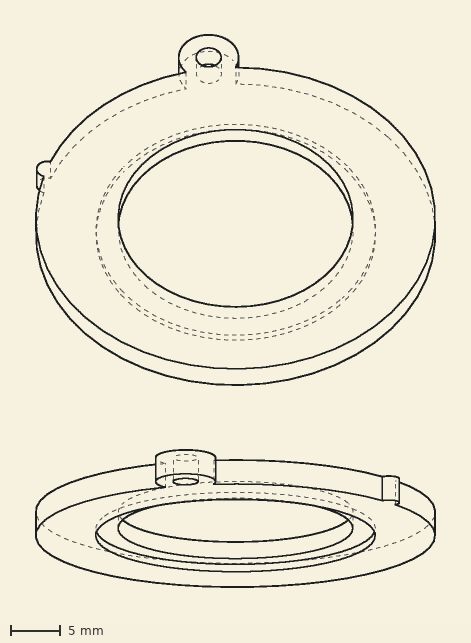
import cadquery as cq

overall_length = 42.3
thickness = 2.5
ring_radius = 20.0

bore_diameter = 23.5
bore_wall_height = 1.75
recess_diameter = 28.0
recess_depth = thickness - bore_wall_height

eyelet_radius = 3.0
eyelet_hole_diameter = 2.5
eyelet_x = -9.5
eyelet_y = overall_length - ring_radius - eyelet_radius

nub_radius = 1.0


def disc(radius, x=0, y=0, height=thickness):
    """Solid disc standing on Z = 0, centred at (x, y)."""
    return cq.Workplane("XY").center(x, y).circle(radius).extrude(height)


body = disc(ring_radius)
eyelet = disc(eyelet_radius, eyelet_x, eyelet_y)
nub = disc(nub_radius, x=-ring_radius)

bore = disc(bore_diameter / 2)
recess = disc(recess_diameter / 2, height=recess_depth)
eyelet_hole = disc(eyelet_hole_diameter / 2, eyelet_x, eyelet_y)

result = body.union(eyelet).union(nub).cut(bore).cut(recess).cut(eyelet_hole)